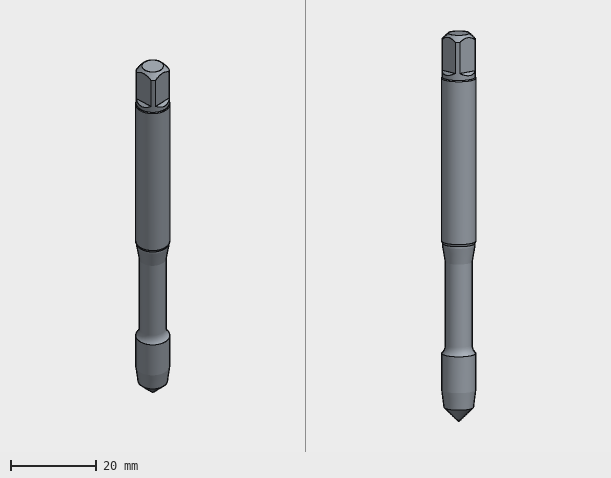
import cadquery as cq
import math

total_length = 93.4

head_radius = 8.0 / 2
tip_radius = 7.0 / 2
tip_height = tip_radius
lead_top = 7.7
head_top = 16.4

neck_radius = 6.35 / 2
neck_flare_top = 18.4
neck_top = 38.4
step_radius = 7.7 / 2
shank_radius = 8.1 / 2
taper_top = 42.3
shank_bottom_step = 42.9
shank_bottom = 43.4
shank_top = 82.6
shank_top_step = 82.8

square_width = 6.3
square_bottom = 84.5
drive_radius = 7.8 / 2
drive_top_radius = 5.0 / 2
runout_angle = 48
drive_chamfer = drive_radius - drive_top_radius


def make_cutting_head():
    """Thread envelope with a tapered lead and a conical point."""
    return (
        cq.Workplane("XZ")
        .lineTo(tip_radius, tip_height)
        .lineTo(head_radius, lead_top)
        .lineTo(head_radius, head_top)
        .lineTo(0, head_top)
        .close()
        .revolve(360, (0, 0), (0, 1))
    )


def flare_midpoint():
    """Middle of the concave arc that runs tangent to the neck and out to the head."""
    rise = neck_flare_top - head_top
    spread = head_radius - neck_radius
    arc_radius = (rise**2 + spread**2) / (2 * spread)
    half_angle = math.asin(rise / arc_radius) / 2
    return (
        neck_radius + arc_radius * (1 - math.cos(half_angle)),
        neck_flare_top - arc_radius * math.sin(half_angle),
    )


def make_round_shank():
    """Turned neck, shank and drive blank above the cutting head."""
    return (
        cq.Workplane("XZ")
        .moveTo(0, head_top)
        .lineTo(head_radius, head_top)
        .threePointArc(flare_midpoint(), (neck_radius, neck_flare_top))
        .lineTo(neck_radius, neck_top)
        .lineTo(step_radius, taper_top)
        .lineTo(step_radius, shank_bottom_step)
        .lineTo(shank_radius, shank_bottom)
        .lineTo(shank_radius, shank_top)
        .lineTo(drive_radius, shank_top_step)
        .lineTo(drive_radius, total_length - drive_chamfer)
        .lineTo(drive_top_radius, total_length)
        .lineTo(0, total_length)
        .close()
        .revolve(360, (0, 0), (0, 1))
    )


def make_flat_cutter():
    """Material removed for one drive flat, with a sloping run-out at its lower end."""
    flat_offset = square_width / 2
    runout = (shank_radius - flat_offset) / math.tan(math.radians(runout_angle))
    return (
        cq.Workplane("XZ")
        .moveTo(flat_offset, total_length)
        .lineTo(flat_offset, square_bottom)
        .lineTo(shank_radius, square_bottom - runout)
        .lineTo(shank_radius, total_length)
        .close()
        .extrude(shank_radius, both=True)
    )


def make_shank():
    """Round shank with four drive flats cut into its upper end."""
    shank = make_round_shank()
    flat_count = 4
    for index in range(flat_count):
        angle = index * 360 / flat_count
        shank = shank.cut(make_flat_cutter().rotate((0, 0, 0), (0, 0, 1), angle))
    return shank


cutting_head = make_cutting_head()
shank = make_shank()

result = cq.Compound.makeCompound([cutting_head.val(), shank.val()])